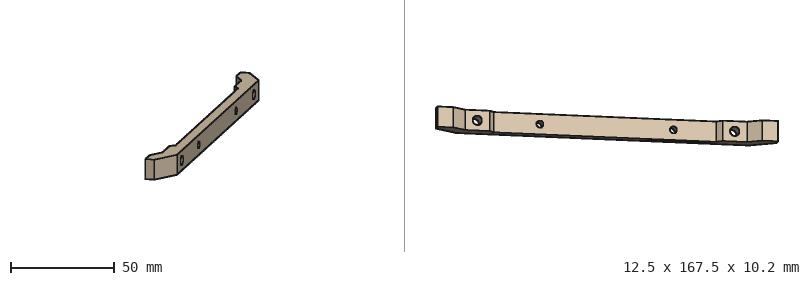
import cadquery as cq

length = 167.5
width = 12.5
height = 10.0
half_length = length / 2
back_x = width / 2
front_x = -width / 2

tip_width = 4.5
tip_length = 7.7
foot_setback = 4.5
outer_bevel_length = 11.9
bevel_slope = outer_bevel_length / (width - tip_width)
inner_bevel_length = foot_setback * bevel_slope

pad_length = 12.0
pad_rise = 2.5
pad_end_y = half_length - tip_length - inner_bevel_length
pad_start_y = pad_end_y - pad_length
pad_x = front_x + foot_setback
bar_front_x = pad_x + pad_rise

pad_hole_diameter = 4.5
pad_hole_y = (pad_start_y + pad_end_y) / 2
bar_hole_diameter = 3.4
bar_hole_spacing = 65.7
bar_hole_shift_y = -0.8

strip_length = 30.5
strip_width = 3.4
strip_height = 0.2
strip_center_x = 3.2
strip_center_y = -36.7


def make_bar():
    """Extrude the bar outline, which is symmetric about the XZ plane."""
    upper_half = [
        (back_x, half_length - outer_bevel_length),
        (front_x + tip_width, half_length),
        (front_x, half_length),
        (front_x, half_length - tip_length),
        (pad_x, pad_end_y),
        (pad_x, pad_start_y),
        (bar_front_x, pad_start_y - pad_rise),
    ]
    lower_half = [(x, -y) for x, y in reversed(upper_half)]
    return cq.Workplane("XY").polyline(upper_half + lower_half).close().extrude(height)


def make_cross_holes(diameter, offset_y, middle_y=0.0):
    """Two cylinders along X, at equal distances either side of middle_y."""
    return (
        cq.Workplane("YZ", origin=(front_x, middle_y, height / 2))
        .pushPoints([(-offset_y, 0), (offset_y, 0)])
        .circle(diameter / 2)
        .extrude(width)
    )


def make_strip():
    """Shallow rectangular strip standing below the bottom face."""
    return (
        cq.Workplane("XY")
        .center(strip_center_x, strip_center_y)
        .rect(strip_width, strip_length)
        .extrude(-strip_height)
    )


result = (
    make_bar()
    .union(make_strip())
    .cut(make_cross_holes(pad_hole_diameter, pad_hole_y))
    .cut(make_cross_holes(bar_hole_diameter, bar_hole_spacing / 2, bar_hole_shift_y))
)